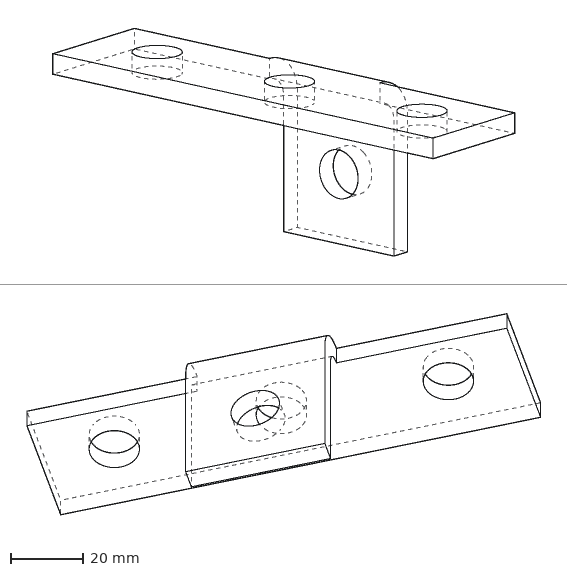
import cadquery as cq

plate_length = 138
overall_depth = 47.0
overall_height = 51
thickness = 6.0

outer_radius = 12.0
inner_radius = outer_radius - thickness

tab_width = 40
hole_diameter = 14.0
hole_spacing = 48.0
plate_hole_to_bend = 15.0
tab_hole_to_end = 20.0

plate_depth = overall_depth - outer_radius


def make_plate():
    """Flat plate with a row of three through holes."""
    plate = cq.Workplane("XY").box(
        plate_length, plate_depth, thickness, centered=(True, False, False)
    ).translate((0, 0, -thickness))
    hole_y = plate_depth - plate_hole_to_bend
    hole_centers = [(i * hole_spacing, hole_y) for i in (-1, 0, 1)]
    holes = cq.Workplane("XY").pushPoints(hole_centers).circle(hole_diameter / 2).extrude(-thickness)
    return plate.cut(holes)


def make_tab():
    """Quarter-round bend and the tab hanging down from it, with one through hole."""
    tab = (
        cq.Workplane("YZ")
        .moveTo(plate_depth, 0)
        .radiusArc((overall_depth, -outer_radius), outer_radius)
        .lineTo(overall_depth, -overall_height)
        .lineTo(overall_depth - thickness, -overall_height)
        .lineTo(overall_depth - thickness, -outer_radius)
        .radiusArc((plate_depth, -thickness), -inner_radius)
        .close()
        .extrude(tab_width / 2, both=True)
    )
    hole = (
        cq.Workplane("XZ", origin=(0, overall_depth - thickness, 0))
        .center(0, tab_hole_to_end - overall_height)
        .circle(hole_diameter / 2)
        .extrude(-thickness)
    )
    return tab.cut(hole)


result = make_plate().union(make_tab())